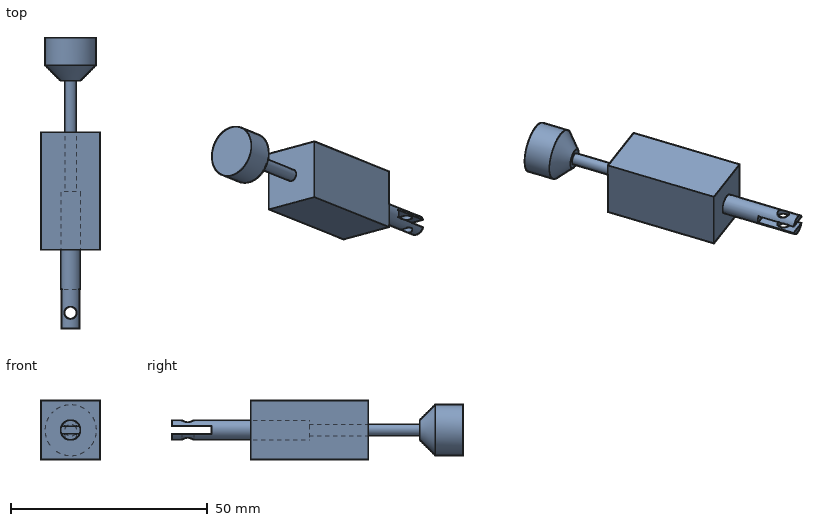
import cadquery as cq

overall_length = 74.0
block_side = 15.0
block_length = 30.0

shank_diameter = 5.0
shank_exposed_length = 20.0
shank_depth_in_block = block_length / 2
slot_height = 2.0
slot_length = 10.0
cross_hole_diameter = 3.0
cross_hole_from_tip = 4.0

rod_diameter = 3.0
head_diameter = 13.0
head_tip_diameter = shank_diameter
head_straight_length = 7.0
head_cone_length = (head_diameter - head_tip_diameter) / 2

shank_tip_y = -overall_length / 2
block_front_y = shank_tip_y + shank_exposed_length
shank_end_y = block_front_y + shank_depth_in_block
block_back_y = block_front_y + block_length
head_back_y = overall_length / 2
head_shoulder_y = head_back_y - head_straight_length
head_tip_y = head_shoulder_y - head_cone_length


def cylinder_along_y(diameter, start_y, end_y):
    """Solid cylinder on the Y axis between two stations."""
    plane = cq.Plane(origin=(0, start_y, 0), xDir=(1, 0, 0), normal=(0, 1, 0))
    return cq.Workplane(plane).circle(diameter / 2).extrude(end_y - start_y)


def make_housing():
    """Square block with a stepped bore that fits the shank and the rod."""
    block = cq.Workplane("XY").box(block_side, block_length, block_side)
    block = block.translate((0, (block_front_y + block_back_y) / 2, 0))
    shank_bore = cylinder_along_y(shank_diameter, block_front_y, shank_end_y)
    rod_bore = cylinder_along_y(rod_diameter, shank_end_y, block_back_y)
    return block.cut(shank_bore).cut(rod_bore)


def make_shank():
    """Round shank with a slotted tip and a cross hole through both prongs."""
    shank = cylinder_along_y(shank_diameter, shank_tip_y, shank_end_y)
    slot = cq.Workplane("XY").box(shank_diameter, slot_length, slot_height)
    slot = slot.translate((0, shank_tip_y + slot_length / 2, 0))
    cross_hole = (
        cq.Workplane("XY")
        .center(0, shank_tip_y + cross_hole_from_tip)
        .circle(cross_hole_diameter / 2)
        .extrude(shank_diameter, both=True)
    )
    return shank.cut(slot).cut(cross_hole)


def make_head():
    """Cylindrical head that tapers towards the rod."""
    outline = [
        (0, head_tip_y),
        (head_tip_diameter / 2, head_tip_y),
        (head_diameter / 2, head_shoulder_y),
        (head_diameter / 2, head_back_y),
        (0, head_back_y),
    ]
    return cq.Workplane("XY").polyline(outline).close().revolve(360, (0, 0, 0), (0, 1, 0))


def make_plunger():
    """Sliding plunger: slotted shank, thin rod and head in one piece."""
    rod = cylinder_along_y(rod_diameter, shank_end_y, head_tip_y)
    return make_shank().union(rod).union(make_head())


housing = make_housing()
plunger = make_plunger()

result = cq.Compound.makeCompound([housing.solids().val(), plunger.solids().val()])